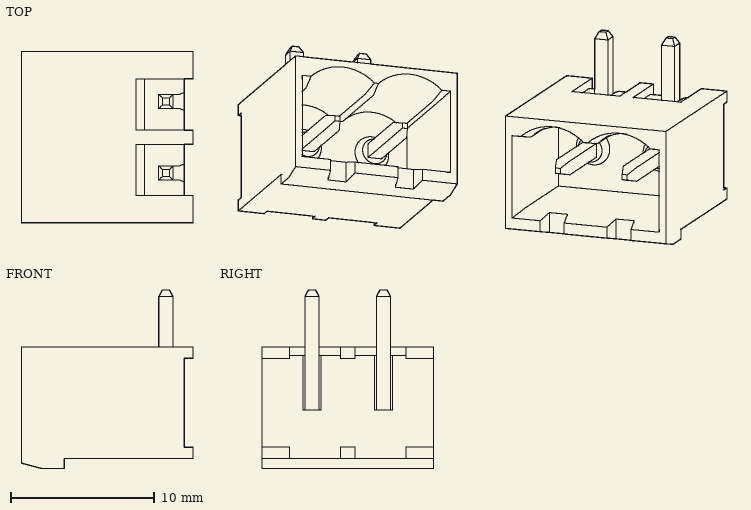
import cadquery as cq
import math


WIDTH = 12.0
LENGTH = 12.0
BODY_TOP = 8.5
BODY_BOTTOM = 0.7
FOOT_LENGTH = 3.0
FOOT_BEVEL_LENGTH = 1.4
FOOT_BEVEL_RISE = 0.38

TAB_REACH = 0.6
TAB_HEIGHT = 0.8
REAR_FACE = LENGTH - TAB_REACH

PIN_PITCH = 5.0
POLES = [-PIN_PITCH / 2, PIN_PITCH / 2]
PIN_SIZE = 1.0
PIN_AXIS_HEIGHT = 4.6
PIN_AXIS_X = 10.1
PIN_TOP = 12.5
PIN_FRONT = 1.1
SOLDER_TIP_LENGTH = 0.48
SOLDER_TIP_SIZE = 0.5
CONTACT_TIP_LENGTH = 1.05
CONTACT_TIP_SIZE = 0.38
PIN_BOTTOM = PIN_AXIS_HEIGHT - PIN_SIZE / 2
PIN_BACK = PIN_AXIS_X + PIN_SIZE / 2

MOUTH_WIDTH = 11.0
MOUTH_BOTTOM = 1.18
MOUTH_TOP = 7.12
MOUTH_ARCH_RADIUS = 3.45
LEAD_IN_LENGTH = 1.5
LEAD_IN_INSET = 0.4
CAVITY_DEPTH = 8.0
ARCH_BASE = 6.5

COLLAR_BASE_RADIUS = 1.25
COLLAR_TOP_RADIUS = 0.9
COLLAR_HEIGHT = 0.6

NOTCH_FRONT_WIDTH = 1.8
NOTCH_BACK_WIDTH = 1.35
NOTCH_DEPTH = 1.2

POCKET_FRONT = 8.0
POCKET_DEPTH = 0.6
POCKET_INNER = 0.5
POCKET_OUTER = 4.08

FLARE_LENGTH = 0.35
FLARE_WIDTH = 1.25


def box(x0, x1, y0, y1, z0, z1):
    """Box spanning the given limits along X, Y and Z."""
    return cq.Workplane("XY").box(x1 - x0, y1 - y0, z1 - z0, centered=False).translate((x0, y0, z0))


def facing_rear(x, y, z):
    """YZ workplane at the given point, extruding toward +X."""
    return cq.Workplane("YZ", origin=(x, y, z))


def housing_block():
    """Side outline with the bevelled foot and the rear recess between the tabs."""
    outline = [
        (0, FOOT_BEVEL_RISE),
        (FOOT_BEVEL_LENGTH, 0),
        (FOOT_LENGTH, 0),
        (FOOT_LENGTH, BODY_BOTTOM),
        (LENGTH, BODY_BOTTOM),
        (LENGTH, BODY_BOTTOM + TAB_HEIGHT),
        (REAR_FACE, BODY_BOTTOM + TAB_HEIGHT),
        (REAR_FACE, BODY_TOP - TAB_HEIGHT),
        (LENGTH, BODY_TOP - TAB_HEIGHT),
        (LENGTH, BODY_TOP),
        (0, BODY_TOP),
    ]
    return cq.Workplane("XZ").polyline(outline).close().extrude(WIDTH / 2, both=True)


def cavity_section(x, length, inset, draft):
    """Arched opening shrunk by inset, swept toward +X while closing in at the draft angle."""
    width = MOUTH_WIDTH - 2 * inset
    height = MOUTH_TOP - MOUTH_BOTTOM - 2 * inset
    middle = (MOUTH_TOP + MOUTH_BOTTOM) / 2
    section = facing_rear(x, 0, middle).rect(width, height).extrude(length, taper=draft)
    above_arch_base = box(x, x + length, -WIDTH / 2, WIDTH / 2, ARCH_BASE, BODY_TOP)
    for y in POLES:
        cone = facing_rear(x, y, PIN_AXIS_HEIGHT).circle(MOUTH_ARCH_RADIUS - inset)
        section = section.union(cone.extrude(length, taper=draft).intersect(above_arch_base))
    return section


def cavity():
    draft = math.degrees(math.atan(LEAD_IN_INSET / LEAD_IN_LENGTH))
    lead_in = cavity_section(0, LEAD_IN_LENGTH, 0, draft)
    straight = cavity_section(LEAD_IN_LENGTH, CAVITY_DEPTH - LEAD_IN_LENGTH, LEAD_IN_INSET, 0)
    return lead_in.union(straight)


def coding_notch(y):
    """Notch through the lower lip, narrowing away from the mouth."""
    outline = [
        (0, y - NOTCH_FRONT_WIDTH / 2),
        (NOTCH_DEPTH, y - NOTCH_BACK_WIDTH / 2),
        (NOTCH_DEPTH, y + NOTCH_BACK_WIDTH / 2),
        (0, y + NOTCH_FRONT_WIDTH / 2),
    ]
    return cq.Workplane("XY").polyline(outline).close().extrude(PIN_AXIS_HEIGHT)


def pocket(side):
    """Top pocket with a 45 degree front ramp, plus the gap it leaves between the rear tabs."""
    outline = [
        (POCKET_FRONT, BODY_TOP),
        (POCKET_FRONT + POCKET_DEPTH, BODY_TOP - POCKET_DEPTH),
        (REAR_FACE, BODY_TOP - POCKET_DEPTH),
        (REAR_FACE, 0),
        (LENGTH, 0),
        (LENGTH, BODY_TOP),
    ]
    start = POCKET_OUTER if side > 0 else -POCKET_INNER
    profile = cq.Workplane("XZ", origin=(0, start, 0)).polyline(outline).close()
    return profile.extrude(POCKET_OUTER - POCKET_INNER)


def pin_slot(y):
    """Slot that lets the bent pin in from the rear."""
    straight_half = PIN_SIZE / 2
    flare_half = FLARE_WIDTH / 2
    flare_start = REAR_FACE - FLARE_LENGTH
    outline = [
        (PIN_AXIS_X, y - straight_half),
        (flare_start, y - straight_half),
        (REAR_FACE, y - flare_half),
        (REAR_FACE, y + flare_half),
        (flare_start, y + straight_half),
        (PIN_AXIS_X, y + straight_half),
    ]
    profile = cq.Workplane("XY", origin=(0, 0, PIN_BOTTOM)).polyline(outline).close()
    return profile.extrude(BODY_TOP - PIN_BOTTOM)


def collar(y):
    flare = math.degrees(math.atan((COLLAR_BASE_RADIUS - COLLAR_TOP_RADIUS) / COLLAR_HEIGHT))
    base = facing_rear(CAVITY_DEPTH, y, PIN_AXIS_HEIGHT).circle(COLLAR_BASE_RADIUS)
    return base.extrude(-COLLAR_HEIGHT, taper=flare)


def tip(plane, length, end_size):
    """Square pyramid frustum standing on the given plane."""
    return (
        cq.Workplane(plane)
        .rect(PIN_SIZE, PIN_SIZE)
        .workplane(offset=length)
        .rect(end_size, end_size)
        .loft(combine=True)
    )


def pin(y):
    """Horizontal contact arm and vertical solder leg, each with a tapered tip."""
    half = PIN_SIZE / 2
    arm_start = PIN_FRONT + CONTACT_TIP_LENGTH
    leg_end = PIN_TOP - SOLDER_TIP_LENGTH
    arm = box(arm_start, PIN_BACK, y - half, y + half, PIN_BOTTOM, PIN_BOTTOM + PIN_SIZE)
    leg = box(PIN_BACK - PIN_SIZE, PIN_BACK, y - half, y + half, PIN_BOTTOM, leg_end)
    arm_plane = cq.Plane(origin=(arm_start, y, PIN_AXIS_HEIGHT), xDir=(0, 1, 0), normal=(-1, 0, 0))
    leg_plane = cq.Plane(origin=(PIN_AXIS_X, y, leg_end))
    contact_tip = tip(arm_plane, CONTACT_TIP_LENGTH, CONTACT_TIP_SIZE)
    solder_tip = tip(leg_plane, SOLDER_TIP_LENGTH, SOLDER_TIP_SIZE)
    return arm.union(leg).union(contact_tip).union(solder_tip)


result = housing_block().cut(cavity())
for pole_y in POLES:
    result = result.cut(coding_notch(pole_y)).cut(pocket(pole_y)).cut(pin_slot(pole_y))
    result = result.union(collar(pole_y)).union(pin(pole_y))